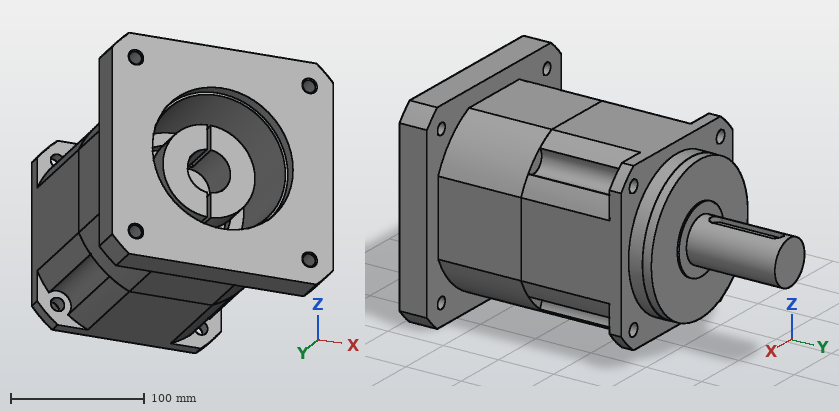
import cadquery as cq
import math


plate_thickness = 25.0
bore_step_depth = 10.0
bore_floor_y = 90.0
joint_y = 100.0
groove_end_y = 180.0
flange_face_y = 190.5
pilot_step_y = 203.0
pilot_face_y = 211.0
shoulder_face_y = 212.5
shaft_end_y = 292.5

plate_side = 180.0
plate_corner_diameter = 236.0
body_side = 150.0
body_corner_diameter = 164.5
flange_corner_diameter = 190.0

motor_pilot_diameter = 114.5
motor_bore_diameter = 110.5
inner_bore_diameter = 90.0
motor_bolt_circle = 200.0
motor_hole_diameter = 10.2
motor_hole_chamfer = 1.0

flange_bolt_circle = 165.0
flange_hole_diameter = 11.0
groove_diameter = 22.0
pilot_diameter = 130.0
pilot_tip_diameter = 129.6

collar_face_y = 26.5
collar_end_y = 50.0
collar_diameter = 75.0
neck_diameter = 67.5
hub_bore_diameter = 35.0
hub_bore_depth = 40.0
clamp_slot_width = 3.2
clamp_slot_depth = 36.0
journal_diameter = 60.0
shaft_diameter = 40.0
key_width = 12.0
key_length = 65.5
key_end_gap = 6.0
key_depth = 5.0


def along_y(start_y):
    """Workplane at start_y that extrudes toward +Y, centred on the gearbox axis."""
    return cq.Workplane(cq.Plane(origin=(0, start_y, 0), xDir=(1, 0, 0), normal=(0, 1, 0)))


def disc(diameter, start_y, end_y):
    """Round bar on the gearbox axis."""
    return along_y(start_y).circle(diameter / 2).extrude(end_y - start_y)


def rounded_square(side, corner_diameter, start_y, end_y):
    """Square bar whose four corners are turned to corner_diameter."""
    square = along_y(start_y).rect(side, side).extrude(end_y - start_y)
    return square.intersect(disc(corner_diameter, start_y, end_y))


def corner_points(bolt_circle):
    """Four points on the diagonals of the square sections."""
    pitch = bolt_circle / math.sqrt(2)
    return [(x * pitch / 2, z * pitch / 2) for x in (-1, 1) for z in (-1, 1)]


def corner_cylinders(bolt_circle, diameter, start_y, end_y):
    """Four round bars along Y, one at each corner of the bolt circle."""
    points = corner_points(bolt_circle)
    return along_y(start_y).pushPoints(points).circle(diameter / 2).extrude(end_y - start_y)


def make_input_housing():
    """Motor plate and rear body with the stepped motor bore."""
    plate = rounded_square(plate_side, plate_corner_diameter, 0, plate_thickness)
    body = rounded_square(body_side, body_corner_diameter, plate_thickness, joint_y)
    housing = plate.union(body)
    housing = housing.cut(disc(motor_pilot_diameter, 0, bore_step_depth))
    housing = housing.cut(disc(motor_bore_diameter, bore_step_depth, bore_floor_y))
    housing = housing.cut(disc(inner_bore_diameter, bore_floor_y, joint_y))
    housing = housing.cut(
        corner_cylinders(motor_bolt_circle, motor_hole_diameter, 0, plate_thickness))
    hole_radius = motor_hole_diameter / 2
    mouth_radius = hole_radius + motor_hole_chamfer
    axis = cq.Vector(0, 1, 0)
    for x, z in corner_points(motor_bolt_circle):
        mouth_center = cq.Vector(x, 0, z)
        countersink = cq.Solid.makeCone(
            mouth_radius, hole_radius, motor_hole_chamfer, mouth_center, axis)
        housing = housing.cut(cq.Workplane(countersink))
    return housing


def make_output_housing():
    """Front body with bolt grooves, mounting flange and centring pilot."""
    body = rounded_square(body_side, body_corner_diameter, joint_y, groove_end_y)
    body = body.cut(corner_cylinders(flange_bolt_circle, groove_diameter, joint_y, groove_end_y))
    flange = rounded_square(body_side, flange_corner_diameter, groove_end_y, flange_face_y)
    flange = flange.cut(
        corner_cylinders(flange_bolt_circle, flange_hole_diameter, groove_end_y, flange_face_y))
    pilot = disc(pilot_diameter, flange_face_y, pilot_step_y)
    pilot_tip = disc(pilot_tip_diameter, pilot_step_y, pilot_face_y)
    housing = body.union(flange).union(pilot).union(pilot_tip)
    return housing.cut(disc(journal_diameter, joint_y, pilot_face_y))


def make_keyway():
    """Round-ended pocket in the top of the output shaft."""
    center_y = shaft_end_y - key_end_gap - key_length / 2
    floor_z = shaft_diameter / 2 - key_depth
    slot = cq.Workplane("XY", origin=(0, center_y, floor_z)).slot2D(key_length, key_width, 90)
    return slot.extrude(key_depth)


def make_rotor():
    """Slotted clamping hub, journal and output shaft in one piece."""
    rotor = disc(collar_diameter, collar_face_y, collar_end_y)
    rotor = rotor.union(disc(neck_diameter, collar_end_y, joint_y))
    rotor = rotor.union(disc(journal_diameter, joint_y, shoulder_face_y))
    rotor = rotor.union(disc(shaft_diameter, shoulder_face_y, shaft_end_y))
    rotor = rotor.cut(disc(hub_bore_diameter, collar_face_y, collar_face_y + hub_bore_depth))
    clamp_slot = along_y(collar_face_y).rect(clamp_slot_width, collar_diameter)
    rotor = rotor.cut(clamp_slot.extrude(clamp_slot_depth))
    return rotor.cut(make_keyway())


input_housing = make_input_housing()
output_housing = make_output_housing()
rotor = make_rotor()

result = cq.Compound.makeCompound([input_housing.val(), output_housing.val(), rotor.val()])